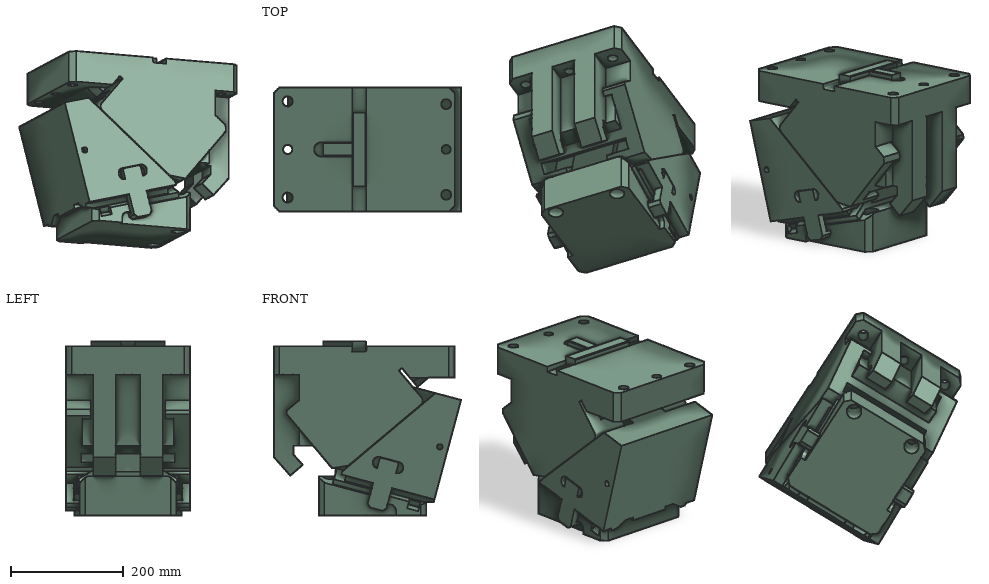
import cadquery as cq
import math

SLIDE_ANGLE = 40.0
RAMP_ANGLE = 15.0
HALF_WIDTH = 109.95
REACH = 431.2
GAP = 0.5

PLATE_LENGTH = 320.0
PLATE_TOP = 300.2
PLATE_UNDERSIDE = 249.8
PLATE_REAR_UNDERSIDE = 244.8
PLATE_STEP_X = 166.0
WEB_TOP = 265.5
PLATE_CORNER = 10.0
FRONT_HOLES_X = 24.5
FRONT_HOLE_SPACING = 85.2
REAR_HOLES_X = 305.0
REAR_HOLE_SPACING = 80.3
OUTER_HOLE_DIAMETER = 17.5
MIDDLE_HOLE_DIAMETER = 16.0

KEY_TOP = 309.0
KEY_FLOOR = 290.5
GROOVE_START_X = 138.5
GROOVE_END_X = 164.0
GROOVE_FILLET = 4.0
KEY_FIT = 0.3
KEY_CHAMFER = 1.3
BAR_HALF_LENGTH = 65.5
ARM_START_X = 87.2
ARM_HALF_WIDTH = 12.0
ARM_SLOT_RADIUS = 12.5
ARM_SLOT_START_X = 71.3

WALL_X = 44.8
BLOCK_BOTTOM = 123.7
BLOCK_HALF_WIDTH = 80.5
LEG_INNER_Y = 22.0
LEG_OUTER_Y = 61.7
LEG_NECK_X = 34.8
HOOK_OUTER_Z = 103.8
HOOK_TIP = (29.2, 71.0)
HOOK_NOSE = (51.5, 90.2)
HOOK_THROAT_Z = 108.0
CLAW_INNER_Y = 66.5
CLAW_STEP_LEVEL = 113.0
SIDE_START = 133.0
SIDE_END = 335.0
SIDE_TOP_LEVEL = 128.0
SIDE_BOTTOM_LEVEL = -17.0
SIDE_CREST_ALONG = 265.5
SIDE_CUT_ALONG = 26.0
NEAR_CUT_LEVEL = -2.3
FAR_CUT_LEVEL = 0.3
NEAR_CLAW_CHAMFER = 5.0
FAR_CLAW_CHAMFER = 8.3
SIDE_END_RADIUS = 10.0
SLOT_WIDTH = 6.5
SLOT_TOP_LEVEL = 54.5
STOP_LEVEL = 11.3
STOP_CHAMFER = 11.5

LIP_LEVEL = 12.0
BLOCK_LEVEL = 32.0
CHANNEL_HALF_WIDTH = 82.5
HEAD_HALF_WIDTH = 80.5
NECK_HALF_WIDTH = 39.8

ROOF_SLOPE = math.tan(math.radians(32.0))
RIDGE_LEVEL = 109.8
RIDGE_HALF_WIDTH = 57.0
TROUGH_LEVEL = 103.5
GUIDE_EDGE_Y = 89.0
GUIDE_SIDE_HEIGHT = 8.5
GUIDE_START = 86.0
LEDGE_DROP = 12.3

BASE_START_X = 79.5
BASE_END_X = 270.5
BASE_TOP = 70.3
BASE_HALF_WIDTH = 85.5
FLANGE_HALF_WIDTH = 95.0
FLANGE_START_X = 194.0
BASE_CORNER = 10.0
TOE_RECESS_END_X = 216.5
TOE_RECESS_TOP = 20.5
TOE_RECESS_RADIUS = 13.3
NOTCH_START = 224.5
NOTCH_END = 244.8
BASE_HOLE_X = 95.0
BASE_HOLE_Y = 60.0
BASE_HOLE_DIAMETER = 26.0

NOSE_START = 84.5
NOSE_HALF_WIDTH = NECK_HALF_WIDTH - GAP
SLIDER_START = 96.5
SHOE_START = 105.0
SLIDER_END = 267.5
SLIDER_TOP_LEVEL = 284.0
SLIDER_BOTTOM_LEVEL = 101.5
SLIDER_LOWEST_Z = 24.2
SHOE_EDGE_Y = 85.2
SIDE_HOLE_X = 294.0
SIDE_HOLE_Z = 122.0
SIDE_HOLE_DIAMETER = 10.0
SIDE_HOLE_DEPTH = 13.3

CLIP_START = 155.0
CLIP_END = 189.5
CLIP_BOTTOM_LEVEL = 58.5
CLIP_CHAMFER = 5.5
CLIP_TOP_RADIUS = 3.3
CLIP_INNER_Y = 96.2
TOE_INNER_Y = 86.0
TOE_TOP_LEVEL = 69.5
CLIP_POCKET_LEVEL = 139.0
CLIP_POCKET_RADIUS = 10.3
CLIP_TOP_GAP = 1.0


def roof_level(y):
    """Level of the sloped guide face at a distance y from the middle."""
    return RIDGE_LEVEL - (y - RIDGE_HALF_WIDTH) * ROOF_SLOPE


def side_prism(points, y_min, y_max):
    """Prism with an X-Z outline, between two Y positions."""
    return cq.Workplane("XZ", origin=(0, y_max, 0)).polyline(points).close().extrude(y_max - y_min)


def block(x_min, x_max, y_min, y_max, z_min, z_max):
    size = (x_max - x_min, y_max - y_min, z_max - z_min)
    return cq.Workplane("XY").box(*size, centered=False).translate((x_min, y_min, z_min))


def section_prism(half_outline, start, end):
    """Prism along X whose Y-Z section is mirrored about Y = 0."""
    mirrored = [(-y, z) for y, z in reversed(half_outline)]
    outline = cq.Workplane("YZ", origin=(start, 0, 0)).polyline(half_outline + mirrored).close()
    return outline.extrude(end - start)


def both_sides(shape):
    return shape.union(shape.mirror("XZ"))


def on_slide(shape):
    return shape.rotate((0, 0, 0), (0, 1, 0), -SLIDE_ANGLE)


def on_ramp(shape):
    return shape.rotate((0, 0, 0), (0, 1, 0), RAMP_ANGLE)


def slide_point(along, level):
    """X-Z position of a point given in the slide frame."""
    cosine = math.cos(math.radians(SLIDE_ANGLE))
    sine = math.sin(math.radians(SLIDE_ANGLE))
    return (along * cosine - level * sine, along * sine + level * cosine)


def upright_hole(x, y, diameter, z_min, z_max):
    return cq.Workplane("XY", origin=(x, y, z_min)).circle(diameter / 2).extrude(z_max - z_min)


def driver_plate():
    outline = [
        (0, PLATE_TOP),
        (0, PLATE_UNDERSIDE),
        (PLATE_STEP_X, PLATE_UNDERSIDE),
        (PLATE_STEP_X, PLATE_REAR_UNDERSIDE),
        (PLATE_LENGTH, PLATE_REAR_UNDERSIDE),
        (PLATE_LENGTH, PLATE_TOP),
    ]
    plate = side_prism(outline, -HALF_WIDTH, HALF_WIDTH)
    return plate.edges("(|Z and <X) or (|Z and >X)").chamfer(PLATE_CORNER)


def driver_side(claw_chamfer, cut_level, y_min, y_max):
    """Half of the body: a rectangle along the slide with trimmed corners, joined up to the plate."""
    guide = side_prism(
        [
            (SIDE_START, SIDE_TOP_LEVEL),
            (SIDE_START, cut_level),
            (SIDE_START + SIDE_CUT_ALONG, SIDE_BOTTOM_LEVEL),
            (SIDE_END, SIDE_BOTTOM_LEVEL),
            (SIDE_END, SLOT_TOP_LEVEL),
            (SIDE_CREST_ALONG, SIDE_TOP_LEVEL),
        ],
        y_min,
        y_max,
    )
    guide = guide.edges("|Y and <X and >Z").chamfer(claw_chamfer)
    guide = guide.edges("|Y and >X and <Z").fillet(SIDE_END_RADIUS)
    top_of_end = slide_point(SIDE_END, SLOT_TOP_LEVEL)
    web = side_prism(
        [
            (WALL_X, WEB_TOP),
            (WALL_X, slide_point(SIDE_START, SIDE_TOP_LEVEL)[1]),
            top_of_end,
            (top_of_end[0], WEB_TOP),
        ],
        y_min,
        y_max,
    )
    return on_slide(guide).union(web)


def claw_clearance():
    """Space in front of the wall that leaves only the two side claws."""
    upper = block(-REACH, WALL_X, -CLAW_INNER_Y, CLAW_INNER_Y, 0, PLATE_UNDERSIDE)
    lower = block(-REACH, REACH, -BLOCK_HALF_WIDTH, BLOCK_HALF_WIDTH, -REACH, CLAW_STEP_LEVEL)
    front = block(-REACH, WALL_X, -HALF_WIDTH, HALF_WIDTH, 0, PLATE_UNDERSIDE)
    return upper.union(on_slide(lower).intersect(front))


def middle_block():
    foot_end = slide_point(SIDE_START, BLOCK_LEVEL)
    slope = math.tan(math.radians(SLIDE_ANGLE))
    foot_start_x = foot_end[0] - (BLOCK_BOTTOM - foot_end[1]) * slope
    return side_prism(
        [
            (WALL_X, PLATE_UNDERSIDE),
            (WALL_X, BLOCK_BOTTOM),
            (foot_start_x, BLOCK_BOTTOM),
            foot_end,
            slide_point(SIDE_END / 2, BLOCK_LEVEL),
        ],
        -BLOCK_HALF_WIDTH,
        BLOCK_HALF_WIDTH,
    )


def hook_leg():
    outline = [
        (0, PLATE_UNDERSIDE),
        (0, HOOK_OUTER_Z),
        HOOK_TIP,
        HOOK_NOSE,
        (LEG_NECK_X, HOOK_THROAT_Z),
        (LEG_NECK_X, BLOCK_BOTTOM),
        (WALL_X, BLOCK_BOTTOM),
        (WALL_X, PLATE_UNDERSIDE),
    ]
    return side_prism(outline, LEG_INNER_Y, LEG_OUTER_Y)


def leg_web():
    return block(LEG_NECK_X, WALL_X, -LEG_INNER_Y, LEG_INNER_Y, BLOCK_BOTTOM, PLATE_UNDERSIDE)


def tongue_channel():
    head = block(0, REACH, -CHANNEL_HALF_WIDTH, CHANNEL_HALF_WIDTH, LIP_LEVEL, BLOCK_LEVEL)
    neck = block(0, REACH, -NECK_HALF_WIDTH, NECK_HALF_WIDTH, 2 * SIDE_BOTTOM_LEVEL, LIP_LEVEL)
    return on_slide(head.union(neck))


def rear_stop():
    """Wedge under the plate behind the slot, chamfered along its lower sides."""
    start = SIDE_END + SLOT_WIDTH
    section = [
        (BLOCK_HALF_WIDTH, SLOT_TOP_LEVEL),
        (BLOCK_HALF_WIDTH, STOP_LEVEL + STOP_CHAMFER),
        (BLOCK_HALF_WIDTH - STOP_CHAMFER, STOP_LEVEL),
    ]
    wedge = on_slide(section_prism(section, start, REACH))
    return wedge.intersect(block(0, PLATE_LENGTH, -HALF_WIDTH, HALF_WIDTH, 0, WEB_TOP))


def rear_slot():
    return on_slide(
        block(SIDE_END, SIDE_END + SLOT_WIDTH, -REACH, REACH, 2 * SIDE_BOTTOM_LEVEL, SLOT_TOP_LEVEL)
    )


def key_recess():
    groove = block(GROOVE_START_X, GROOVE_END_X, -REACH, REACH, KEY_FLOOR, KEY_TOP)
    groove = groove.edges("|Y and >X and <Z").fillet(GROOVE_FILLET)
    arc_x = ARM_SLOT_START_X + ARM_SLOT_RADIUS
    slot = block(arc_x, GROOVE_START_X, -ARM_SLOT_RADIUS, ARM_SLOT_RADIUS, KEY_FLOOR, KEY_TOP)
    return groove.union(slot).union(upright_hole(arc_x, 0, 2 * ARM_SLOT_RADIUS, KEY_FLOOR, KEY_TOP))


def key():
    bar_start = GROOVE_START_X + KEY_FIT
    bar_end = GROOVE_END_X - KEY_FIT
    bottom = KEY_FLOOR - KEY_FIT
    bar = block(bar_start, bar_end, -BAR_HALF_LENGTH, BAR_HALF_LENGTH, bottom, KEY_TOP)
    bar = bar.edges("|Y and >Z").chamfer(KEY_CHAMFER)
    arm = block(ARM_START_X, bar_start, -ARM_HALF_WIDTH, ARM_HALF_WIDTH, bottom, KEY_TOP)
    arm = arm.edges("|X and >Z").chamfer(KEY_CHAMFER)
    return bar.union(arm)


def plate_holes(x, spacing):
    holes = upright_hole(x, 0, MIDDLE_HOLE_DIAMETER, PLATE_REAR_UNDERSIDE, PLATE_TOP)
    outer = upright_hole(x, spacing, OUTER_HOLE_DIAMETER, PLATE_REAR_UNDERSIDE, PLATE_TOP)
    return holes.union(both_sides(outer))


def make_driver():
    near_side = driver_side(NEAR_CLAW_CHAMFER, NEAR_CUT_LEVEL, -HALF_WIDTH, 0)
    far_side = driver_side(FAR_CLAW_CHAMFER, FAR_CUT_LEVEL, 0, HALF_WIDTH)
    driver = near_side.union(far_side).cut(claw_clearance()).union(middle_block())
    driver = driver.cut(tongue_channel()).union(driver_plate())
    driver = driver.union(both_sides(hook_leg())).union(leg_web()).union(rear_stop()).cut(rear_slot())
    driver = driver.cut(plate_holes(FRONT_HOLES_X, FRONT_HOLE_SPACING))
    driver = driver.cut(plate_holes(REAR_HOLES_X, REAR_HOLE_SPACING))
    return driver.cut(key_recess()).union(key())


def base_envelope():
    """Stepped block with chamfered corners that bounds the base from the sides."""
    front = block(BASE_START_X, BASE_END_X, -BASE_HALF_WIDTH, BASE_HALF_WIDTH, 0, REACH)
    front = front.edges("|Z and <X").chamfer(BASE_CORNER)
    rear = block(FLANGE_START_X, BASE_END_X, -FLANGE_HALF_WIDTH, FLANGE_HALF_WIDTH, 0, REACH)
    rear = rear.edges("|Z and >X").chamfer(BASE_CORNER)
    narrow = block(0, FLANGE_START_X, -HALF_WIDTH, HALF_WIDTH, 0, REACH)
    return front.intersect(narrow).union(rear)


def roof_prism(outer_y, drop, start, end):
    """Roof-shaped prism along the ramp, its slopes lowered by drop but its ridge level kept."""
    ridge_y = RIDGE_HALF_WIDTH - drop / ROOF_SLOPE
    section = [
        (ridge_y, RIDGE_LEVEL),
        (outer_y, roof_level(outer_y) - drop),
        (outer_y, -REACH),
    ]
    return on_ramp(section_prism(section, start, end))


def guide_rail():
    """Roof-shaped rail; its side faces are square to the slopes and so undercut."""
    foot_y = GUIDE_EDGE_Y - GUIDE_SIDE_HEIGHT * ROOF_SLOPE
    section = [
        (RIDGE_HALF_WIDTH, RIDGE_LEVEL),
        (GUIDE_EDGE_Y, roof_level(GUIDE_EDGE_Y)),
        (foot_y, roof_level(GUIDE_EDGE_Y) - GUIDE_SIDE_HEIGHT),
        (foot_y, -REACH),
    ]
    limits = block(BASE_START_X, BASE_END_X, -FLANGE_HALF_WIDTH, FLANGE_HALF_WIDTH, 0, REACH)
    limits = limits.edges("|Z and >X").chamfer(BASE_CORNER)
    return on_ramp(section_prism(section, GUIDE_START, REACH)).intersect(limits)


def toe_recess():
    recess = block(0, TOE_RECESS_END_X, BASE_HALF_WIDTH, REACH, -TOE_RECESS_TOP, TOE_RECESS_TOP)
    return both_sides(recess.edges("|Y and >X and >Z").fillet(TOE_RECESS_RADIUS))


def trough():
    """Open channel along the middle of the guide rail for the underside of the slider."""
    return on_ramp(block(GUIDE_START, REACH, -NECK_HALF_WIDTH, NECK_HALF_WIDTH, TROUGH_LEVEL, REACH))


def make_base():
    envelope = base_envelope()
    low = block(0, REACH, -HALF_WIDTH, HALF_WIDTH, 0, BASE_TOP)
    body = roof_prism(FLANGE_HALF_WIDTH, LEDGE_DROP, 0, REACH).intersect(envelope).intersect(low)
    flanges = block(FLANGE_START_X, REACH, -HALF_WIDTH, HALF_WIDTH, 0, REACH).intersect(envelope)
    for start, end in ((GUIDE_START, NOTCH_START), (NOTCH_END, REACH)):
        body = body.union(roof_prism(FLANGE_HALF_WIDTH, 0, start, end).intersect(flanges))
    body = body.union(guide_rail()).cut(toe_recess()).cut(trough())
    return body.cut(both_sides(upright_hole(BASE_HOLE_X, BASE_HOLE_Y, BASE_HOLE_DIAMETER, 0, BASE_TOP)))


def slider_bed():
    """Slider body along the ramp, its underside straddling the guide rail."""
    foot_level = roof_level(SHOE_EDGE_Y)
    shoe_top_y = SHOE_EDGE_Y + (SLIDER_BOTTOM_LEVEL - foot_level) * ROOF_SLOPE
    section = [
        (HALF_WIDTH, SLIDER_TOP_LEVEL),
        (HALF_WIDTH, SLIDER_BOTTOM_LEVEL),
        (shoe_top_y, SLIDER_BOTTOM_LEVEL),
        (SHOE_EDGE_Y, foot_level),
        (RIDGE_HALF_WIDTH, RIDGE_LEVEL),
        (NOSE_HALF_WIDTH, RIDGE_LEVEL),
        (NOSE_HALF_WIDTH, TROUGH_LEVEL),
    ]
    bed = section_prism(section, NOSE_START, SLIDER_END)
    beside_nose = block(0, SLIDER_START, NOSE_HALF_WIDTH, REACH, 0, REACH)
    before_shoe = block(0, SHOE_START, NOSE_HALF_WIDTH, REACH, 0, SLIDER_BOTTOM_LEVEL)
    bed = on_ramp(bed.cut(both_sides(beside_nose)).cut(both_sides(before_shoe)))
    return bed.cut(block(0, REACH, -REACH, REACH, -REACH, SLIDER_LOWEST_Z))


def slide_section():
    """Section of the slider across the slide: wide shoulders below a T-shaped tongue."""
    shoulder = SIDE_BOTTOM_LEVEL - GAP
    section = [
        (HEAD_HALF_WIDTH, BLOCK_LEVEL - GAP),
        (HEAD_HALF_WIDTH, LIP_LEVEL + GAP),
        (NOSE_HALF_WIDTH, LIP_LEVEL + GAP),
        (NOSE_HALF_WIDTH, shoulder),
        (HALF_WIDTH, shoulder),
        (HALF_WIDTH, -REACH),
    ]
    return on_slide(section_prism(section, 0, REACH))


def clip_pocket():
    """Round-ended pocket whose two ends stay open beside the clip."""
    middle = (CLIP_START + CLIP_END) / 2
    length = CLIP_END - CLIP_START + 2 * CLIP_POCKET_RADIUS
    pocket = cq.Workplane("XZ", origin=(0, HALF_WIDTH, 0)).center(middle, CLIP_POCKET_LEVEL)
    pocket = pocket.slot2D(length, 2 * CLIP_POCKET_RADIUS).extrude(HALF_WIDTH - CLIP_INNER_Y)
    return both_sides(on_ramp(pocket))


def clip():
    top = CLIP_POCKET_LEVEL + CLIP_POCKET_RADIUS - CLIP_TOP_GAP
    arm = block(CLIP_START, CLIP_END, CLIP_INNER_Y, HALF_WIDTH, CLIP_BOTTOM_LEVEL, top)
    toe = block(CLIP_START, CLIP_END, TOE_INNER_Y, HALF_WIDTH, CLIP_BOTTOM_LEVEL, TOE_TOP_LEVEL)
    arm = arm.edges("|Y and >Z").fillet(CLIP_TOP_RADIUS)
    return on_ramp(arm.union(toe).edges("|Y and <Z").chamfer(CLIP_CHAMFER))


def side_hole():
    hole = cq.Workplane("XZ", origin=(SIDE_HOLE_X, HALF_WIDTH, SIDE_HOLE_Z))
    return both_sides(hole.circle(SIDE_HOLE_DIAMETER / 2).extrude(SIDE_HOLE_DEPTH))


def make_slider():
    slider = slider_bed().intersect(slide_section())
    return slider.cut(clip_pocket()).union(both_sides(clip())).cut(side_hole())


driver = make_driver()
base = make_base()
slider = make_slider()

result = cq.Compound.makeCompound([driver.val(), base.val(), slider.val()])